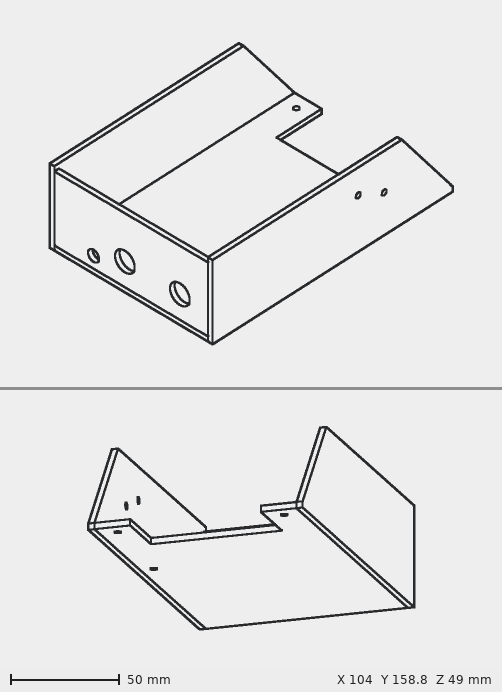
import cadquery as cq

WIDTH = 104.0
LENGTH = 158.8
HEIGHT = 49.0
SHEET = 3.0
INNER_WIDTH = WIDTH - 2 * SHEET

SLOPE_LENGTH = 33.7
WALL_HOLE_DIAMETER = 3.2
WALL_HOLES = [(96.2, 32.9), (113.3, 25.0)]

NOTCH_WIDTH = 63.3
NOTCH_DEPTH = 29.8
FLOOR_HOLE_DIAMETER = 3.0
TAB_HOLE_X = 40.3
TAB_HOLE_INSET = 7.8
SIDE_HOLE = (42.5, 93.3)

PANEL_TOP = 46.0
LARGE_HOLE_DIAMETER = 12.5
LARGE_HOLE_X = [-4.0, 31.1]
LARGE_HOLE_Z = 18.0
SMALL_HOLE_DIAMETER = 7.0
SMALL_HOLE = (-24.0, 10.5)


def z_cylinder(x, y, diameter):
    """Vertical cutter through the floor."""
    return cq.Workplane("XY").center(x, y).circle(diameter / 2).extrude(SHEET)


def y_cylinder(x, z, diameter):
    """Front-to-back cutter through the front panel."""
    return cq.Workplane("XZ").center(x, z).circle(diameter / 2).extrude(-SHEET)


def make_floor():
    floor = cq.Workplane("XY").box(INNER_WIDTH, LENGTH, SHEET, centered=(True, False, False))
    notch = (
        cq.Workplane("XY")
        .box(NOTCH_WIDTH, NOTCH_DEPTH, SHEET, centered=(True, False, False))
        .translate((0, LENGTH - NOTCH_DEPTH, 0))
    )
    floor = floor.cut(notch)
    tab_hole_y = LENGTH - TAB_HOLE_INSET
    for x, y in [(-TAB_HOLE_X, tab_hole_y), (TAB_HOLE_X, tab_hole_y), SIDE_HOLE]:
        floor = floor.cut(z_cylinder(x, y, FLOOR_HOLE_DIAMETER))
    return floor


def make_front_panel():
    panel = (
        cq.Workplane("XY")
        .box(INNER_WIDTH, SHEET, PANEL_TOP - SHEET, centered=(True, False, False))
        .translate((0, 0, SHEET))
    )
    for x in LARGE_HOLE_X:
        panel = panel.cut(y_cylinder(x, LARGE_HOLE_Z, LARGE_HOLE_DIAMETER))
    return panel.cut(y_cylinder(*SMALL_HOLE, SMALL_HOLE_DIAMETER))


def make_side_wall(inner_x, holes):
    """Wall extending one sheet thickness toward +X from inner_x."""
    wall = (
        cq.Workplane("YZ", origin=(inner_x, 0, 0))
        .polyline([
            (0, 0),
            (LENGTH, 0),
            (LENGTH, SHEET),
            (LENGTH - SLOPE_LENGTH, HEIGHT),
            (0, HEIGHT),
        ])
        .close()
        .extrude(SHEET)
    )
    for y, z in holes:
        cutter = (
            cq.Workplane("YZ", origin=(inner_x, 0, 0))
            .center(y, z)
            .circle(WALL_HOLE_DIAMETER / 2)
            .extrude(SHEET)
        )
        wall = wall.cut(cutter)
    return wall


floor = make_floor()
front_panel = make_front_panel()
side_walls = [
    make_side_wall(start_x, holes)
    for start_x, holes in [(-WIDTH / 2, []), (INNER_WIDTH / 2, WALL_HOLES)]
]

result = cq.Compound.makeCompound(
    [floor.val(), front_panel.val(), *[wall.val() for wall in side_walls]]
)